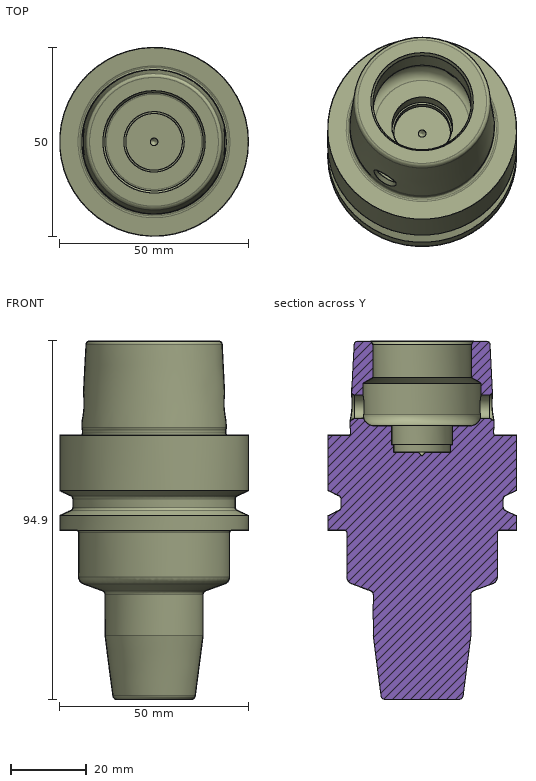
import cadquery as cq
import math


shank_top = 24.9
taper_gauge_radius = 19.0
taper_gauge_height = 5.0
taper_slope = 0.05
shank_top_rounding = 1.0

relief_top = 2.0
relief_radius = 19.0
relief_upper_edge = 1.3
relief_corner_radius = 0.65
relief_face_depth = 0.1
relief_face_radius = 20.1

flange_radius = 25.0
flange_bottom = -25.2
groove_radius = 21.5
groove_top = -14.7
groove_bottom = -21.3
groove_wall_angle = 25
groove_rounding = 0.8

body_radius = 20.0
body_rounding = 0.6
shoulder_height = -38.9
shoulder_angle = 20
shoulder_rounding = 2.0
nose_radius = 13.0
nose_root_rounding = 1.0
nose_taper_top = -53
nose_bottom = -70.0
nose_tip_radius = 10.8
nose_tip_rounding = 1.2

bore_radius = 13.0
bore_chamfer_width = 0.55
bore_chamfer_height = 0.95
bore_straight_depth = 9.7
clamp_shoulder_angle = 30.0
chamber_radius = 15.6
chamber_depth = 22.4
chamber_floor_rounding = 3.0

recess_radius = 8.0
recess_depth = 5.0
recess_ledge_width = 0.5
recess_inner_depth = 2.0
centre_mark_radius = 1.0
centre_mark_angle = 90

cross_hole_radius = 3.0
cross_hole_height = 7.5
cross_hole_flare_depth = 1.05
cross_hole_flare_angle = 30.0


def taper_radius(height):
    return taper_gauge_radius - taper_slope * (height - taper_gauge_height)


def revolved(profile):
    """Turn a closed profile of (radius, height) points about Z."""
    return profile.close().revolve(360, (0, 0, 0), (0, 1, 0))


def ring_edges(body, corners):
    """Pick the circular edges of a turned body at the given (radius, height) corners."""
    half = 0.01
    picked = None
    for radius, height in corners:
        outer = cq.selectors.BoxSelector(
            (-radius - half, -radius - half, height - half),
            (radius + half, radius + half, height + half),
            boundingbox=True,
        )
        inner = cq.selectors.BoxSelector(
            (-radius + half, -radius + half, height - half),
            (radius - half, radius - half, height + half),
            boundingbox=True,
        )
        ring = outer - inner
        picked = ring if picked is None else picked + ring
    return body.edges(picked)


def make_outside():
    groove_drop = (flange_radius - groove_radius) * math.tan(math.radians(groove_wall_angle))
    shoulder_drop = (body_radius - nose_radius) * math.tan(math.radians(shoulder_angle))
    relief_floor = (relief_radius + relief_corner_radius, -relief_face_depth)
    relief_wall = (relief_radius, relief_corner_radius - relief_face_depth)
    bulge = relief_corner_radius * (1 - math.sqrt(0.5))
    relief_middle = (relief_radius + bulge, bulge - relief_face_depth)

    shank_edge = (taper_radius(shank_top), shank_top)
    groove_corners = [
        (groove_radius, groove_top - groove_drop),
        (groove_radius, groove_bottom + groove_drop),
    ]
    body_root = (body_radius, flange_bottom)
    shoulder_edge = (body_radius, shoulder_height)
    nose_root = (nose_radius, shoulder_height - shoulder_drop)
    nose_tip = (nose_tip_radius, nose_bottom)

    profile = (
        cq.Workplane("XZ")
        .moveTo(0, shank_top)
        .lineTo(*shank_edge)
        .lineTo(taper_radius(relief_top), relief_top)
        .lineTo(relief_radius, relief_upper_edge)
        .lineTo(*relief_wall)
        .threePointArc(relief_middle, relief_floor)
        .lineTo(relief_face_radius, 0)
        .lineTo(flange_radius, 0)
        .lineTo(flange_radius, groove_top)
        .lineTo(*groove_corners[0])
        .lineTo(*groove_corners[1])
        .lineTo(flange_radius, groove_bottom)
        .lineTo(flange_radius, flange_bottom)
        .lineTo(*body_root)
        .lineTo(*shoulder_edge)
        .lineTo(*nose_root)
        .lineTo(nose_radius, nose_taper_top)
        .lineTo(*nose_tip)
        .lineTo(0, nose_bottom)
    )
    roundings = [
        (shank_top_rounding, [shank_edge]),
        (groove_rounding, groove_corners),
        (body_rounding, [body_root]),
        (shoulder_rounding, [shoulder_edge]),
        (nose_root_rounding, [nose_root]),
        (nose_tip_rounding, [nose_tip]),
    ]
    body = revolved(profile)
    for radius, corners in roundings:
        body = ring_edges(body, corners).fillet(radius)
    return body


def make_bore():
    floor = shank_top - chamber_depth
    shoulder_edge = shank_top - bore_straight_depth
    shoulder_drop = (chamber_radius - bore_radius) * math.tan(math.radians(clamp_shoulder_angle))
    rounding_start = (chamber_radius, floor + chamber_floor_rounding)
    rounding_end = (chamber_radius - chamber_floor_rounding, floor)
    bulge = chamber_floor_rounding * (1 - math.sqrt(0.5))
    rounding_middle = (chamber_radius - bulge, floor + bulge)
    recess_ledge = floor - recess_depth
    recess_floor = recess_ledge - recess_inner_depth
    mark_depth = centre_mark_radius / math.tan(math.radians(centre_mark_angle / 2))
    profile = (
        cq.Workplane("XZ")
        .moveTo(0, shank_top)
        .lineTo(bore_radius + bore_chamfer_width, shank_top)
        .lineTo(bore_radius, shank_top - bore_chamfer_height)
        .lineTo(bore_radius, shoulder_edge)
        .lineTo(chamber_radius, shoulder_edge - shoulder_drop)
        .lineTo(*rounding_start)
        .threePointArc(rounding_middle, rounding_end)
        .lineTo(recess_radius, floor)
        .lineTo(recess_radius, recess_ledge)
        .lineTo(recess_radius - recess_ledge_width, recess_ledge)
        .lineTo(recess_radius - recess_ledge_width, recess_floor)
        .lineTo(centre_mark_radius, recess_floor)
        .lineTo(0, recess_floor - mark_depth)
    )
    return revolved(profile)


def make_cross_hole():
    """Hole along X whose mouths flare out at the taper surface."""
    mouth = taper_radius(cross_hole_height)
    reach = flange_radius
    flare_start = mouth - cross_hole_flare_depth
    flare_growth = (reach - flare_start) * math.tan(math.radians(cross_hole_flare_angle))
    flare_radius = cross_hole_radius + flare_growth
    return (
        cq.Workplane("XY")
        .workplane(offset=cross_hole_height)
        .moveTo(-reach, 0)
        .lineTo(-reach, flare_radius)
        .lineTo(-flare_start, cross_hole_radius)
        .lineTo(flare_start, cross_hole_radius)
        .lineTo(reach, flare_radius)
        .lineTo(reach, 0)
        .close()
        .revolve(360, (0, 0, 0), (1, 0, 0))
    )


shank_zone = cq.Workplane("XY").circle(flange_radius).extrude(shank_top).translate((0, 0, relief_top))

result = make_outside().cut(make_bore()).cut(make_cross_hole().intersect(shank_zone))